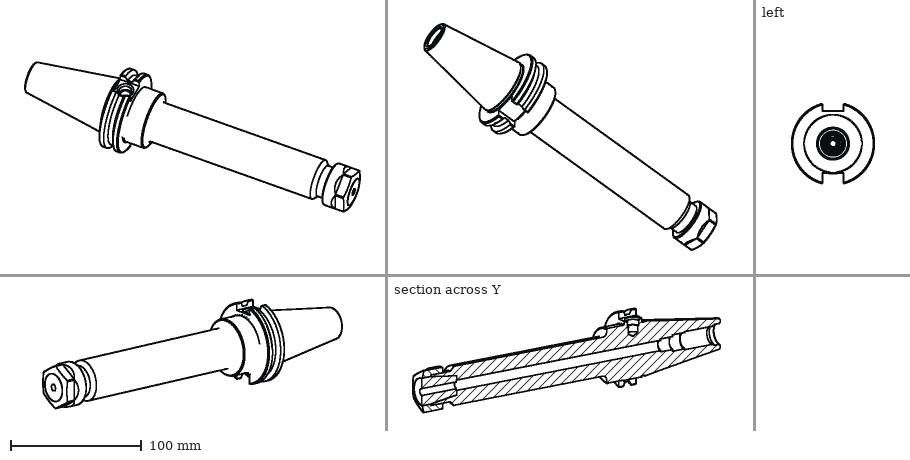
import cadquery as cq
import math

LENGTH = 271.5

FULL_TURN = 360
X_AXIS = ((0, 0, 0), (1, 0, 0))
HOLE_AXIS = ((0, 0, 0), (0, 1, 0))

TAPER_END = 68.5
TAPER_SLOPE = 7 / 24 / 2
TAPER_DIA = 44.5
TAPER_RIM_CHAMFER = 0.95

RELIEF_DEPTH = 0.5

FLANGE_START = 71.5
FLANGE_END = 87.5
FLANGE_DIA = 63.5
FLANGE_CHAMFER = 0.8
GRIP_CENTER = 79.5
GRIP_DIA = 56.5
GRIP_FLOOR_WIDTH = 3.8
GRIP_WALL_ANGLE = 30.0

SLOT_WIDTH = 16.0
SLOT_EDGE_CHAMFER = 0.8
UPPER_SLOT_FLOOR = 25.0
LOWER_SLOT_FLOOR = 22.5

SLOT_HOLE_SINK_DIA = 12.8
SLOT_HOLE_DIA = 10.0
SLOT_HOLE_CORE_DIA = 8.0
SLOT_HOLE_DEPTH = 10.9
SLOT_HOLE_STEP_DEPTH = 5.5
DRILL_POINT_ANGLE = 59.0

COLLAR_END = 103.7
COLLAR_CHAMFER = 0.8
FLANGE_FILLET = 0.8
SHAFT_DIA = 31.8
SHAFT_FILLET = 3.0
SHAFT_END = 242.1
NECK_DIA = 25.0

MOUTH_DIA = 18.7
PILOT_DIA = 16.5
PILOT_END = 5.0
STUD_DIA = 14.0
STUD_BORE_START = 8.0
STUD_BORE_END = 32.5

WIDE_CORE_DIA = 12.8
WIDE_CORE_END = 43.5
MIDDLE_CORE_DIA = 10.0
MIDDLE_CORE_END = 54.3
CORE_DIA = 8.0

NUT_START = 252.2
NUT_FACE_SETBACK = 0.3
NUT_END = LENGTH - NUT_FACE_SETBACK
NUT_DIA = 34.0
NUT_CHAMFER = 0.8
HEX_SIDES = 6
HEX_START = 262.8
CORNER_UP = 90.0
HEX_FLATS = 29.9
HEX_FLARE_ANGLE = 40.0
NUT_CONE_LENGTH = 1.5

COLLET_DIA = 21.7
COLLET_BORE_DIA = 5.2
COLLET_TAIL = 240.0
COLLET_TAPER_START = 263.3
COLLET_HALF_ANGLE = 8.0
HOLDER_END = COLLET_TAPER_START

taper_r = TAPER_DIA / 2
collet_r = COLLET_DIA / 2
collet_tail_r = collet_r - (COLLET_TAPER_START - COLLET_TAIL) * math.tan(math.radians(COLLET_HALF_ANGLE))


def turned(points):
    """Solid turned about the X axis from a closed outline of (x, radius) points."""
    return cq.Workplane("XY").polyline(points).close().revolve(FULL_TURN, *X_AXIS)


def shank_outline():
    """Taper, relief groove, flange blank, collar, shaft and neck."""
    rim_r = taper_r - TAPER_END * TAPER_SLOPE
    relief_r = taper_r - RELIEF_DEPTH
    flange_r = FLANGE_DIA / 2
    shaft_r = SHAFT_DIA / 2
    neck_r = NECK_DIA / 2
    return (
        cq.Workplane("XY")
        .moveTo(0, 0)
        .lineTo(0, rim_r - TAPER_RIM_CHAMFER)
        .lineTo(TAPER_RIM_CHAMFER, rim_r + TAPER_RIM_CHAMFER * TAPER_SLOPE)
        .lineTo(TAPER_END, taper_r)
        .lineTo(TAPER_END + RELIEF_DEPTH, relief_r)
        .lineTo(FLANGE_START - RELIEF_DEPTH, relief_r)
        .lineTo(FLANGE_START, taper_r)
        .lineTo(FLANGE_START, flange_r - FLANGE_CHAMFER)
        .lineTo(FLANGE_START + FLANGE_CHAMFER, flange_r)
        .lineTo(FLANGE_END - FLANGE_CHAMFER, flange_r)
        .lineTo(FLANGE_END, flange_r - FLANGE_CHAMFER)
        .lineTo(FLANGE_END, taper_r + FLANGE_FILLET)
        .radiusArc((FLANGE_END + FLANGE_FILLET, taper_r), -FLANGE_FILLET)
        .lineTo(COLLAR_END - COLLAR_CHAMFER, taper_r)
        .lineTo(COLLAR_END, taper_r - COLLAR_CHAMFER)
        .lineTo(COLLAR_END, shaft_r + SHAFT_FILLET)
        .radiusArc((COLLAR_END + SHAFT_FILLET, shaft_r), -SHAFT_FILLET)
        .lineTo(SHAFT_END, shaft_r)
        .lineTo(SHAFT_END + shaft_r - neck_r, neck_r)
        .lineTo(HOLDER_END, neck_r)
        .lineTo(HOLDER_END, 0)
        .close()
    )


def gripper_groove():
    outer_r = FLANGE_DIA / 2
    floor_r = GRIP_DIA / 2
    floor_half = GRIP_FLOOR_WIDTH / 2
    mouth_half = floor_half + (outer_r - floor_r) * math.tan(math.radians(GRIP_WALL_ANGLE))
    return turned([
        (GRIP_CENTER - mouth_half, outer_r),
        (GRIP_CENTER - floor_half, floor_r),
        (GRIP_CENTER + floor_half, floor_r),
        (GRIP_CENTER + mouth_half, outer_r),
    ])


def drive_slot(floor, side):
    """Slot through the flange above (side = 1) or below (side = -1) the axis, with chamfered outer edges."""
    half_width = SLOT_WIDTH / 2
    flange_r = FLANGE_DIA / 2
    wall_top = math.sqrt(flange_r**2 - half_width**2)
    chamfer_foot = wall_top - SLOT_EDGE_CHAMFER
    mouth_half_width = half_width + flange_r - chamfer_foot
    right_side = [(half_width, floor), (half_width, chamfer_foot), (mouth_half_width, flange_r)]
    left_side = [(-y, z) for y, z in reversed(right_side)]
    outline = [(y, side * z) for y, z in right_side + left_side]
    plane = cq.Workplane("YZ").workplane(offset=FLANGE_START)
    return plane.polyline(outline).close().extrude(FLANGE_END - FLANGE_START)


def slot_hole():
    """Countersunk, stepped blind hole with a drill point, sunk into the upper slot floor."""
    sink_r = SLOT_HOLE_SINK_DIA / 2
    hole_r = SLOT_HOLE_DIA / 2
    core_r = SLOT_HOLE_CORE_DIA / 2
    point_height = core_r / math.tan(math.radians(DRILL_POINT_ANGLE))
    outline = [
        (0, 0),
        (sink_r, 0),
        (hole_r, hole_r - sink_r),
        (hole_r, -SLOT_HOLE_STEP_DEPTH),
        (core_r, -SLOT_HOLE_STEP_DEPTH),
        (core_r, -SLOT_HOLE_DEPTH),
        (0, -SLOT_HOLE_DEPTH - point_height),
    ]
    hole = cq.Workplane("XZ").polyline(outline).close().revolve(FULL_TURN, *HOLE_AXIS)
    return hole.translate(((FLANGE_START + FLANGE_END) / 2, 0, UPPER_SLOT_FLOOR))


def holder_bore():
    """Pull stud bore, core bore and the tapered collet seat."""
    mouth_r = MOUTH_DIA / 2
    pilot_r = PILOT_DIA / 2
    stud_r = STUD_DIA / 2
    wide_core_r = WIDE_CORE_DIA / 2
    middle_core_r = MIDDLE_CORE_DIA / 2
    core_r = CORE_DIA / 2
    return turned([
        (0, 0),
        (0, mouth_r),
        (mouth_r - pilot_r, pilot_r),
        (PILOT_END, pilot_r),
        (STUD_BORE_START, stud_r),
        (STUD_BORE_END, stud_r),
        (STUD_BORE_END, wide_core_r),
        (WIDE_CORE_END, wide_core_r),
        (WIDE_CORE_END, middle_core_r),
        (MIDDLE_CORE_END, middle_core_r),
        (MIDDLE_CORE_END, core_r),
        (COLLET_TAIL, core_r),
        (COLLET_TAIL, collet_tail_r),
        (HOLDER_END, collet_r),
        (HOLDER_END, 0),
    ])


def make_holder():
    body = shank_outline().revolve(FULL_TURN, *X_AXIS)
    body = body.cut(gripper_groove())
    body = body.cut(drive_slot(UPPER_SLOT_FLOOR, 1))
    body = body.cut(drive_slot(LOWER_SLOT_FLOOR, -1))
    body = body.cut(slot_hole())
    return body.cut(holder_bore())


def nut_blank():
    """Turned nut: chamfered back edge, conical front, and a bore for the neck and the collet."""
    nut_r = NUT_DIA / 2
    neck_r = NECK_DIA / 2
    return turned([
        (NUT_START, neck_r),
        (NUT_START, nut_r - NUT_CHAMFER),
        (NUT_START + NUT_CHAMFER, nut_r),
        (NUT_END - NUT_CONE_LENGTH, nut_r),
        (NUT_END, collet_r),
        (HOLDER_END, collet_r),
        (HOLDER_END, neck_r),
    ])


def hex_limits():
    """Hexagon for the wrench flats, flaring out past the round part of the nut."""
    across_corners = HEX_FLATS / math.cos(math.pi / HEX_SIDES)
    flare_length = HEX_START - NUT_START
    plane = cq.Workplane("YZ").workplane(offset=HEX_START).transformed(rotate=(0, 0, CORNER_UP))
    wrench = plane.polygon(HEX_SIDES, across_corners).extrude(NUT_END - HEX_START)
    back_plane = plane.workplane(invert=True)
    flare = back_plane.polygon(HEX_SIDES, across_corners).extrude(flare_length, taper=-HEX_FLARE_ANGLE)
    return wrench.union(flare)


def make_nut():
    return nut_blank().intersect(hex_limits())


def make_collet():
    bore_r = COLLET_BORE_DIA / 2
    return turned([
        (COLLET_TAIL, bore_r),
        (COLLET_TAIL, collet_tail_r),
        (COLLET_TAPER_START, collet_r),
        (LENGTH, collet_r),
        (LENGTH, bore_r),
    ])


holder = make_holder()
nut = make_nut()
collet = make_collet()

result = cq.Compound.makeCompound([holder.val(), nut.val(), collet.val()])